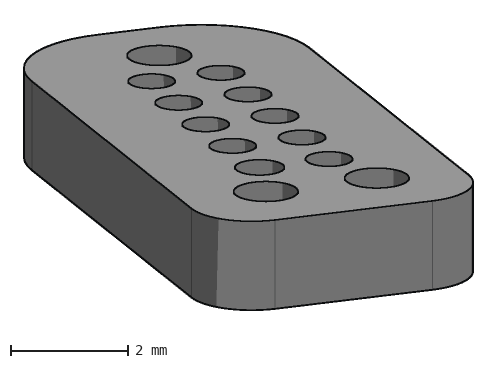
import cadquery as cq

length = 10.57
width = 5.07
thickness = 1.6
left_corner_radius = 1.97
right_corner_radius = 1.1

pitch = 1.27
columns = 5
grid_center_x = -0.03
pin_diameter = 0.8
marked_pin_diameter = 0.85

mount_diameter = 1.1
mount_offset_x = (columns + 1) / 2 * pitch
mount_offset_y = 1.01


def drill(body, points, diameter):
    """Cut through holes at the given XY points."""
    cutter = cq.Workplane("XY").pushPoints(points).circle(diameter / 2).extrude(thickness)
    return body.cut(cutter)


plate = cq.Workplane("XY").box(length, width, thickness, centered=(True, True, False))
plate = plate.edges("|Z and <X").fillet(left_corner_radius)
plate = plate.edges("|Z and >X").fillet(right_corner_radius)

column_x = [grid_center_x + (i - (columns - 1) / 2) * pitch for i in range(columns)]
upper_row = [(x, pitch / 2) for x in column_x]
lower_row = [(x, -pitch / 2) for x in column_x]
plate = drill(plate, upper_row + lower_row[:-1], pin_diameter)
plate = drill(plate, lower_row[-1:], marked_pin_diameter)

mount_points = [
    (grid_center_x - mount_offset_x, 0),
    (grid_center_x + mount_offset_x, mount_offset_y),
    (grid_center_x + mount_offset_x, -mount_offset_y),
]
result = drill(plate, mount_points, mount_diameter)